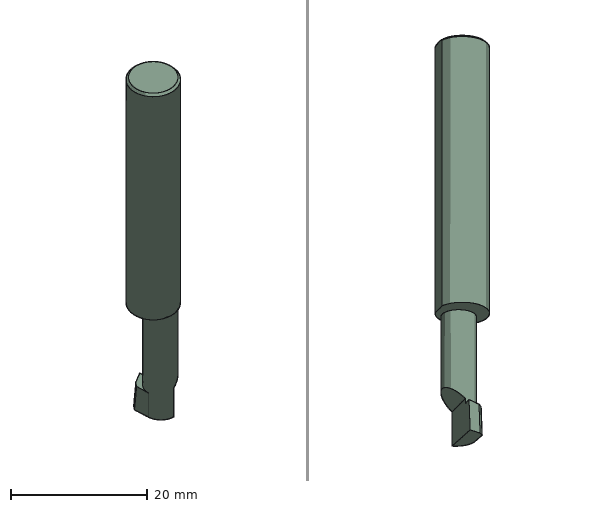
import cadquery as cq
import math

total_length = 63
shank_radius = 4.0
shank_bottom = 20.0
shank_chamfer = 0.4
flat_distance = 3.75

neck_radius = 2.615
neck_x = shank_radius - neck_radius

relief_height = 5.8
relief_angle = 40

head_height = 5.05
tip_x = -3.1
heel_x = -2.15
heel_y = -1.95
back_x = -1.4
side_lean = 5
end_relief_x = 2.5
end_relief_y = 5


def slope(angle):
    return math.tan(math.radians(angle))


def make_shank():
    shank = (
        cq.Workplane("XY", origin=(0, 0, shank_bottom))
        .circle(shank_radius)
        .extrude(total_length - shank_bottom)
        .faces(">Z")
        .chamfer(shank_chamfer)
    )
    beyond_flat = cq.Workplane("XY").box(
        2 * shank_radius, shank_radius, total_length, centered=(True, False, False)
    )
    return shank.cut(beyond_flat.translate((0, flat_distance, 0)))


def make_neck():
    neck = cq.Workplane("XY").center(neck_x, 0).circle(neck_radius).extrude(shank_bottom)
    ramp_top = relief_height + neck_radius * slope(relief_angle)
    relief = (
        cq.Workplane("YZ")
        .polyline([(0, 0), (neck_radius, 0), (neck_radius, ramp_top), (0, relief_height)])
        .close()
        .extrude(shank_radius, both=True)
    )
    return neck.cut(relief)


def head_outline(shift):
    """Head section with its cutting side moved along +X by shift."""
    return [
        (tip_x + shift, 0),
        (heel_x + shift, heel_y),
        (back_x + shift, -neck_radius),
        (neck_x, -neck_radius),
        (neck_x, 0),
    ]


def make_head():
    return (
        cq.Workplane("XY")
        .polyline(head_outline(0))
        .close()
        .workplane(offset=head_height)
        .polyline(head_outline(head_height * slope(side_lean)))
        .close()
        .loft(ruled=True, combine=True)
    )


def make_end_relief():
    """Wedge below the sloping end face, which touches Z = 0 only at the tip."""
    width = shank_radius - tip_x
    rise_x = width * slope(end_relief_x)
    rise_y = neck_radius * slope(end_relief_y)
    inner = [(tip_x, 0), (shank_radius, rise_x), (shank_radius, -rise_y), (tip_x, -rise_y)]
    outer = [
        (tip_x, rise_y),
        (shank_radius, rise_x + rise_y),
        (shank_radius, -rise_y),
        (tip_x, -rise_y),
    ]
    return (
        cq.Workplane("XZ")
        .polyline(inner)
        .close()
        .workplane(offset=neck_radius)
        .polyline(outer)
        .close()
        .loft(ruled=True, combine=True)
    )


result = make_shank().union(make_neck()).union(make_head()).cut(make_end_relief())